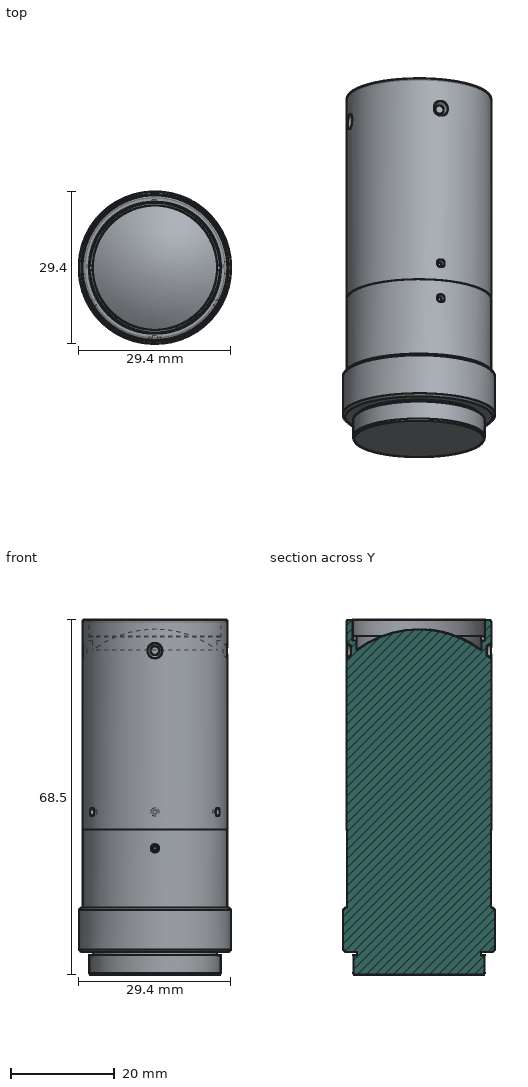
import cadquery as cq
import math

TOTAL_HEIGHT = 68.5
BODY_DIAMETER = 28.0
LOWER_TUBE_DIAMETER = 27.95
SEAM_HEIGHT = 28.0
RIM_FILLET = 0.5

MOUNT_DIAMETER = 25.4
MOUNT_HEIGHT = 3.8
MOUNT_CHAMFER_HEIGHT = 0.4
MOUNT_CHAMFER_WIDTH = 0.2
RELIEF_DIAMETER = 24.0

COLLAR_DIAMETER = 29.4
COLLAR_BOTTOM = 4.4
COLLAR_TOP = 13.0
COLLAR_CHAMFER = 0.5

BORE_DIAMETER = 25.46
RING_DEPTH = 3.2
RING_INNER_DIAMETER = 24.0
LENS_EDGE_DEPTH = 5.85
LENS_APEX_DEPTH = 1.85
RING_CHAMFER = 0.2
RING_SLOT_WIDTH = 0.8
RING_SLOT_DEPTH = 0.8

SCREW_HEIGHT = 62.5
SCREW_DIAMETER = 2.95
SCREW_FLOOR_DIAMETER = 1.7
SCREW_DEPTH = 0.9
SCREW_ANGLES = (0, 90, 180, 270)

PIN_FLOOR_DIAMETER = 0.8
PIN_DEPTH = 0.9

UPPER_PIN_HEIGHT = 31.4
UPPER_PIN_DIAMETER = 1.57
UPPER_PIN_ANGLES = (90, 210, 330)

LOWER_PIN_HEIGHT = 24.4
LOWER_PIN_DIAMETER = 1.6
LOWER_PIN_ANGLES = (90, 270)


def revolve_about_z(sketch):
    """Turn a closed XZ outline around the Z axis."""
    return sketch.close().revolve(360, (0, 0, 0), (0, 1, 0))


def make_body():
    """Turned barrel: mount, relief neck, collar and tubes."""
    body_r = BODY_DIAMETER / 2
    lower_r = LOWER_TUBE_DIAMETER / 2
    mount_r = MOUNT_DIAMETER / 2
    relief_r = RELIEF_DIAMETER / 2
    collar_r = COLLAR_DIAMETER / 2
    outline = (
        cq.Workplane("XZ")
        .moveTo(0, 0)
        .lineTo(mount_r - MOUNT_CHAMFER_WIDTH, 0)
        .lineTo(mount_r, MOUNT_CHAMFER_HEIGHT)
        .lineTo(mount_r, MOUNT_HEIGHT)
        .lineTo(relief_r, MOUNT_HEIGHT)
        .lineTo(relief_r, COLLAR_BOTTOM)
        .lineTo(collar_r - COLLAR_CHAMFER, COLLAR_BOTTOM)
        .lineTo(collar_r, COLLAR_BOTTOM + COLLAR_CHAMFER)
        .lineTo(collar_r, COLLAR_TOP - COLLAR_CHAMFER)
        .lineTo(collar_r - COLLAR_CHAMFER, COLLAR_TOP)
        .lineTo(lower_r, COLLAR_TOP)
        .lineTo(lower_r, SEAM_HEIGHT)
        .lineTo(body_r, SEAM_HEIGHT)
        .lineTo(body_r, TOTAL_HEIGHT - RIM_FILLET)
        .radiusArc((body_r - RIM_FILLET, TOTAL_HEIGHT), -RIM_FILLET)
        .lineTo(0, TOTAL_HEIGHT)
    )
    return revolve_about_z(outline)


def make_recess():
    """Space in front of the lens: bore, retaining ring step and dome surface."""
    bore_r = BORE_DIAMETER / 2
    ring_r = RING_INNER_DIAMETER / 2
    ring_z = TOTAL_HEIGHT - RING_DEPTH
    edge_z = TOTAL_HEIGHT - LENS_EDGE_DEPTH
    apex_z = TOTAL_HEIGHT - LENS_APEX_DEPTH
    sag = apex_z - edge_z
    sphere_r = (ring_r**2 + sag**2) / (2 * sag)
    half_angle = math.asin(ring_r / sphere_r) / 2
    arc_mid = (
        sphere_r * math.sin(half_angle),
        apex_z - sphere_r * (1 - math.cos(half_angle)),
    )
    outline = (
        cq.Workplane("XZ")
        .moveTo(0, TOTAL_HEIGHT)
        .lineTo(bore_r, TOTAL_HEIGHT)
        .lineTo(bore_r, ring_z - RING_CHAMFER)
        .lineTo(bore_r - RING_CHAMFER, ring_z)
        .lineTo(ring_r, ring_z)
        .lineTo(ring_r, edge_z)
        .threePointArc(arc_mid, (0, apex_z))
    )
    return revolve_about_z(outline)


def make_ring_slots():
    """Two spanner slots across the retaining ring, on the X axis."""
    ring_z = TOTAL_HEIGHT - RING_DEPTH
    bar = cq.Workplane("XY").box(BORE_DIAMETER, RING_SLOT_WIDTH, RING_SLOT_DEPTH)
    core = cq.Workplane("XY").circle(RING_INNER_DIAMETER / 2).extrude(RING_SLOT_DEPTH, both=True)
    return bar.cut(core).translate((0, 0, ring_z - RING_SLOT_DEPTH / 2))


def radial_holes(diameter, floor_diameter, depth, height, angles):
    """Blind holes running inward from the tube surface and narrowing to a flat floor."""
    body_r = BODY_DIAMETER / 2
    hole_r = diameter / 2
    floor_r = floor_diameter / 2
    mouth_r = 2 * hole_r - floor_r
    outline = (
        cq.Workplane("XY")
        .moveTo(body_r - depth, 0)
        .lineTo(body_r - depth, floor_r)
        .lineTo(body_r + depth, mouth_r)
        .lineTo(body_r + depth, 0)
        .close()
    )
    hole = outline.revolve(360, (0, 0, 0), (1, 0, 0)).translate((0, 0, height))
    holes = cq.Workplane("XY")
    for angle in angles:
        holes = holes.add(hole.rotate((0, 0, 0), (0, 0, 1), angle))
    return holes.combine()


screw_holes = radial_holes(SCREW_DIAMETER, SCREW_FLOOR_DIAMETER, SCREW_DEPTH, SCREW_HEIGHT, SCREW_ANGLES)
upper_pin_holes = radial_holes(
    UPPER_PIN_DIAMETER, PIN_FLOOR_DIAMETER, PIN_DEPTH, UPPER_PIN_HEIGHT, UPPER_PIN_ANGLES
)
lower_pin_holes = radial_holes(
    LOWER_PIN_DIAMETER, PIN_FLOOR_DIAMETER, PIN_DEPTH, LOWER_PIN_HEIGHT, LOWER_PIN_ANGLES
)

result = (
    make_body()
    .cut(make_recess())
    .cut(make_ring_slots())
    .cut(screw_holes)
    .cut(upper_pin_holes)
    .cut(lower_pin_holes)
)